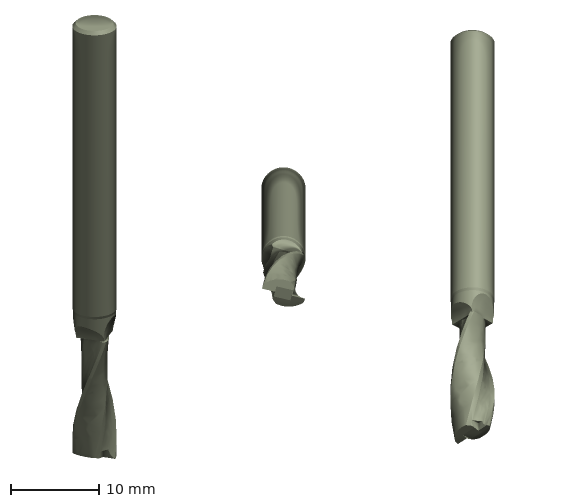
import cadquery as cq
import math

TOOL_LENGTH = 54.0
TOOL_RADIUS = 2.51
JOINT_Z = 15.2

TOP_CHAMFER = 0.4
SHANK_BOTTOM_Z = 18.45
COLLAR_TOP_Z = 18.15
COLLAR_RADIUS = 2.45

WIDE_RADIUS = 4.85
WIDE_DEPTH = 1.7
WIDE_TURN = 183.0
WIDE_TILT = -14.0
SMALL_RADIUS = 2.15
SMALL_DEPTH = 1.55
SMALL_TURN = 272.0
SMALL_TILT = -12.0
RUNOUT_HALF_LENGTH = 5.4

QUARTER_TURN_RISE = 10.25
TWIST = 90.0 * JOINT_Z / QUARTER_TURN_RISE
LAND_ANGLE = 10.0
WEB = 1.45
RELIEF_RISE = 0.8
RELIEF_REACH = 3.0
CENTRE_GAP = 1.95
CENTRE_GAP_DEPTH = 0.15
GASH_INNER_X = 1.0
GASH_HEIGHT = 1.0


def polar(radius, degrees):
    angle = math.radians(degrees)
    return radius * math.cos(angle), radius * math.sin(angle)


def half_turn(point):
    return -point[0], -point[1]


def runout(radius, depth, turn, tilt):
    """Crosswise cylinder that leaves the distance depth from the tool axis, facing the angle turn."""
    return (
        cq.Workplane("XZ")
        .circle(radius)
        .extrude(RUNOUT_HALF_LENGTH, both=True)
        .rotate((0, 0, 0), (1, 0, 0), tilt)
        .translate((depth + radius, 0, JOINT_Z))
        .rotate((0, 0, 0), (0, 0, 1), turn)
    )


def make_shank():
    profile = [
        (0, JOINT_Z),
        (COLLAR_RADIUS, JOINT_Z),
        (COLLAR_RADIUS, COLLAR_TOP_Z),
        (TOOL_RADIUS, SHANK_BOTTOM_Z),
        (TOOL_RADIUS, TOOL_LENGTH - TOP_CHAMFER),
        (TOOL_RADIUS - TOP_CHAMFER, TOOL_LENGTH),
        (0, TOOL_LENGTH),
    ]
    shank = cq.Workplane("XZ").polyline(profile).close().revolve(360, (0, 0), (0, 1))

    wide = runout(WIDE_RADIUS, WIDE_DEPTH, WIDE_TURN, WIDE_TILT)
    small = runout(SMALL_RADIUS, SMALL_DEPTH, SMALL_TURN, SMALL_TILT)
    for cutter in (wide, small):
        for angle in (0, 180):
            shank = shank.cut(cutter.rotate((0, 0, 0), (0, 0, 1), angle))
    return shank


def make_twisted_blank():
    """Two-wing section with convex backs and concave flutes, twisted up to the joint."""
    edge = (TOOL_RADIUS, 0)
    land_middle = polar(TOOL_RADIUS, LAND_ANGLE / 2)
    land_end = polar(TOOL_RADIUS, LAND_ANGLE)
    back_middle = (1.2, 1.3)
    back_end = (-0.45, WEB)
    flute_start = (-0.9, 1.1)
    flute_middle = (-1.4, 0.45)
    rake_start = (-2.0, 0.1)
    return (
        cq.Workplane("XY")
        .moveTo(*edge)
        .threePointArc(land_middle, land_end)
        .threePointArc(back_middle, back_end)
        .lineTo(*flute_start)
        .threePointArc(flute_middle, rake_start)
        .lineTo(*half_turn(edge))
        .threePointArc(half_turn(land_middle), half_turn(land_end))
        .threePointArc(half_turn(back_middle), half_turn(back_end))
        .lineTo(*half_turn(flute_start))
        .threePointArc(half_turn(flute_middle), half_turn(rake_start))
        .close()
        .twistExtrude(JOINT_Z, TWIST)
    )


def make_cutting_head():
    head = make_twisted_blank()
    width = 2 * TOOL_RADIUS

    reach = TOOL_RADIUS
    rise = RELIEF_RISE * reach / RELIEF_REACH
    relief = (
        cq.Workplane("YZ")
        .polyline([(0, 0), (reach, 0), (reach, rise)])
        .close()
        .extrude(TOOL_RADIUS, both=True)
    )
    gap = cq.Workplane("XY").box(CENTRE_GAP, width, CENTRE_GAP_DEPTH, centered=(True, True, False))

    gash = (
        cq.Workplane("XY")
        .box(TOOL_RADIUS, TOOL_RADIUS, GASH_HEIGHT, centered=False)
        .translate((GASH_INNER_X, -TOOL_RADIUS, 0))
    )
    for angle in (0, 180):
        for cutter in (relief, gash):
            head = head.cut(cutter.rotate((0, 0, 0), (0, 0, 1), angle))
    return head.cut(gap)


shank = make_shank()
cutting_head = make_cutting_head()

result = cq.Compound.makeCompound([shank.val(), cutting_head.val()])